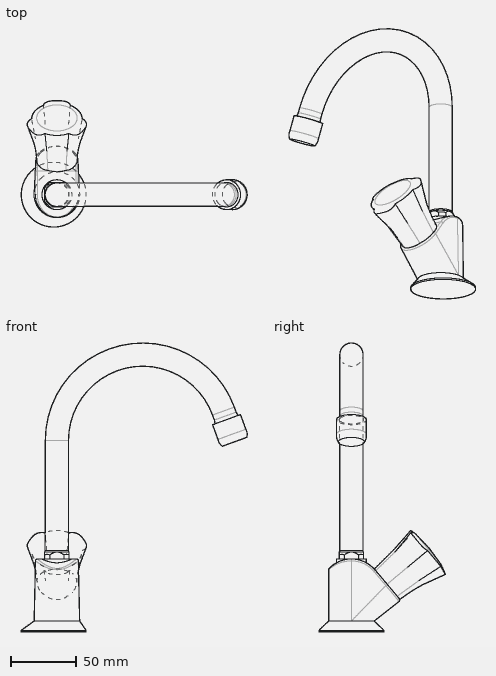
import cadquery as cq
import math

flange_radius = 25.0
flange_offset = -2.5
rim_height = 1.2
flange_height = 8.3
column_radius = 17.6

crown_height = 56.0
dome_radius = 24.0
dome_center_z = crown_height - dome_radius
knob_tilt = 40.0
tilt_sin = math.sin(math.radians(knob_tilt))
tilt_cos = math.cos(math.radians(knob_tilt))
edge_rounding = 1.5
collar_radius = 11.5
collar_bottom = 50.0

arm_radius = 16.2
arm_center_from_tangent = 14.1
apex_height = dome_center_z + dome_radius / tilt_sin

knob_center_from_tangent = 13.6
knob_sections = [(0.0, 15.8, 14.8), (20.0, 18.3, 16.5), (43.0, 25.0, 20.0)]
lobe_count = 3
lobe_half_angle = 15.0
valley_half_angle = 28.0
cap_radius = 15.6
cap_crown = 42.6
cap_edge = 41.6
knob_edge_radius = 23.8
knob_edge = 39.2

pipe_radius = 9.0
bend_radius = 66.0
bend_sweep = 160.0
total_height = 222.14
bend_start = total_height - bend_radius - pipe_radius
nut_across_flats = 18.8
nut_across_corners = 21.0
nut_height = 5.4
nut_chamfer_height = 2.2
nut_chamfer_bottom_radius = 10.8
nut_top = crown_height + nut_height
neck_radius = 18.01 / 2
neck_height = 1.2
outlet_radius = 11.5
outlet_neck = 4.1
outlet_neck_radius = 9.4
outlet_shoulder = 7.0
outlet_seam = 19.0
outlet_length = 25.2
outlet_mouth_radius = 10.0
outlet_mid_radius = 11.25
outlet_mid = 22.8


def arm_face_point(distance):
    """Y and Z of the point this far down the arm face from where it leaves the dome."""
    y = dome_radius * tilt_cos + distance * tilt_sin
    z = dome_center_z + dome_radius * tilt_sin - distance * tilt_cos
    return y, z


def arm_face_plane(distance):
    """Plane of the arm face: local X is X, local Y runs down the face, the normal is the knob axis."""
    y, z = arm_face_point(distance)
    return cq.Plane(origin=(0, y, z), xDir=(1, 0, 0), normal=(0, tilt_cos, tilt_sin))


def back_half():
    """Half round behind the column axis: circular at the foot, narrowing in X only."""
    shaft = (
        cq.Workplane("XY", origin=(0, 0, flange_height))
        .circle(column_radius)
        .workplane(offset=apex_height - flange_height)
        .ellipse(arm_radius, column_radius)
        .loft(ruled=True)
    )
    height = apex_height - flange_height
    behind = cq.Workplane("XY", origin=(0, -column_radius, flange_height))
    return shaft.intersect(behind.box(4 * column_radius, 2 * column_radius, height, centered=(True, True, False)))


def half_disc(plane, radius):
    """Half circle toward local +Y, closed by its diameter."""
    return (
        cq.Workplane(plane)
        .moveTo(-radius, 0)
        .threePointArc((0, radius), (radius, 0))
        .close()
        .wires()
        .val()
    )


def arm_underside():
    """Round lower part of the arm, from the front half of the foot to the lower half of the arm face."""
    foot_plane = cq.Plane(origin=(0, 0, flange_height), xDir=(1, 0, 0), normal=(0, 0, 1))
    foot = half_disc(foot_plane, column_radius)
    face = half_disc(arm_face_plane(arm_center_from_tangent), arm_radius)
    return cq.Workplane(cq.Solid.makeLoft([foot, face], True))


def arm_web():
    """Flat-sided wedge between the underside of the arm, the back half and the plane of the arm face."""
    left_foot, right_foot = [(side * column_radius, 0, flange_height) for side in (-1, 1)]
    left_arm, right_arm = [(side * arm_radius, *arm_face_point(arm_center_from_tangent)) for side in (-1, 1)]
    left_apex, right_apex = [(side * arm_radius, 0, apex_height) for side in (-1, 1)]
    sides = [
        (left_foot, left_arm, left_apex),
        (right_foot, right_arm, right_apex),
        (left_foot, right_foot, right_arm, left_arm),
        (left_foot, right_foot, right_apex, left_apex),
        (left_arm, right_arm, right_apex, left_apex),
    ]
    faces = [
        cq.Face.makeFromWires(cq.Wire.makePolygon([cq.Vector(*corner) for corner in corners], close=True))
        for corners in sides
    ]
    return cq.Workplane(cq.Solid.makeSolid(cq.Shell.makeShell(faces)))


def crown_limit():
    """Everything below the dome and the arm face, from the flange up."""
    back_y = -1.1 * column_radius
    back_z = dome_center_z + math.sqrt(dome_radius**2 - back_y**2)
    face_low = arm_face_point(2 * arm_center_from_tangent + arm_radius)
    width = 4 * column_radius
    return (
        cq.Workplane("YZ", origin=(-width / 2, 0, 0))
        .moveTo(back_y, flange_height)
        .lineTo(back_y, back_z)
        .threePointArc((0, crown_height), arm_face_point(0))
        .lineTo(*face_low)
        .lineTo(face_low[0], flange_height)
        .close()
        .extrude(width)
    )


def flange():
    """Rim with a skew cone up to the column, which stands off its centre."""
    rim = cq.Workplane("XY").center(flange_offset, 0).circle(flange_radius).extrude(rim_height)
    cone = (
        cq.Workplane("XY", origin=(flange_offset, 0, rim_height))
        .circle(flange_radius)
        .workplane(offset=flange_height - rim_height)
        .center(-flange_offset, 0)
        .circle(column_radius)
        .loft(ruled=True)
    )
    return rim.union(cone)


def round_crown(tower):
    """Rounds the outer edges of the dome and the arm face, but not the smooth line between them."""
    rim = tower.faces("%CYLINDER").add(tower.faces(">Y")).edges("not |X")
    return tower.newObject(rim.vals()).fillet(edge_rounding)


def make_body():
    tower = back_half().union(arm_web()).union(arm_underside()).intersect(crown_limit())
    tower = round_crown(tower)
    collar = (
        cq.Workplane("XY", origin=(0, 0, collar_bottom))
        .circle(collar_radius)
        .extrude(crown_height - collar_bottom)
    )
    return tower.union(collar).union(flange())


def polar(radius, degrees):
    return radius * math.cos(math.radians(degrees)), radius * math.sin(math.radians(degrees))


def lobed_wire(plane, lobe_radius, valley_radius):
    """Closed outline of round lobes with shallow round valleys between them; one lobe points to local +Y."""
    pitch = 360 / lobe_count
    lobe_end = pitch / 2 - valley_half_angle
    outline = cq.Workplane(plane).moveTo(*polar(valley_radius, 90 - lobe_end))
    for index in range(lobe_count):
        lobe = 90 + index * pitch
        valley = lobe + pitch / 2
        lobe_points = [polar(lobe_radius, lobe + turn) for turn in (-lobe_half_angle, 0, lobe_half_angle)]
        lobe_points.append(polar(valley_radius, lobe + lobe_end))
        outline = outline.spline(lobe_points, includeCurrent=True).threePointArc(
            polar(valley_radius, valley), polar(valley_radius, valley + valley_half_angle)
        )
    return outline.close().wires().val()


def make_knob():
    seat = arm_face_plane(knob_center_from_tangent)
    wires = []
    for height, lobe_radius, valley_radius in knob_sections:
        plane = cq.Plane(origin=seat.toWorldCoords((0, 0, height)), xDir=seat.xDir, normal=seat.zDir)
        wires.append(lobed_wire(plane, lobe_radius, valley_radius))
    grip = cq.Workplane(cq.Solid.makeLoft(wires, False))
    side_plane = cq.Plane(origin=seat.origin, xDir=seat.xDir, normal=seat.yDir * -1)
    rim_slope = (cap_edge - knob_edge) / (knob_edge_radius - cap_radius)
    limit_radius = 2 * knob_edge_radius
    limit_edge = cap_edge - rim_slope * (limit_radius - cap_radius)
    dome = (
        cq.Workplane(side_plane)
        .lineTo(limit_radius, 0)
        .lineTo(limit_radius, limit_edge)
        .lineTo(cap_radius, cap_edge)
        .lineTo(0, cap_crown)
        .close()
        .revolve(360, (0, 0), (0, 1))
    )
    return grip.intersect(dome)


def outlet():
    """Turned outlet on the end of the bend; its axis continues the pipe."""
    turn = math.radians(180 - bend_sweep)
    end_x = bend_radius + bend_radius * math.cos(turn)
    end_z = bend_start + bend_radius * math.sin(turn)
    plane = cq.Plane(
        origin=(end_x, 0, end_z),
        xDir=(math.cos(turn), 0, math.sin(turn)),
        normal=(0, -1, 0),
    )
    return (
        cq.Workplane(plane)
        .lineTo(pipe_radius, 0)
        .lineTo(pipe_radius, -outlet_neck)
        .lineTo(outlet_neck_radius, -outlet_shoulder)
        .lineTo(outlet_radius, -outlet_shoulder)
        .lineTo(outlet_radius, -outlet_seam)
        .threePointArc((outlet_mid_radius, -outlet_mid), (outlet_mouth_radius, -outlet_length))
        .lineTo(0, -outlet_length)
        .close()
        .revolve(360, (0, 0), (0, 1))
    )


def make_nut():
    flat_distance = nut_across_flats / 2
    blank = (
        cq.Workplane("XY", origin=(0, 0, crown_height))
        .rect(nut_across_flats, nut_across_flats)
        .extrude(nut_height)
    )
    corner_cut = (
        cq.Workplane("XY", origin=(0, 0, crown_height))
        .transformed(rotate=(0, 0, 45))
        .rect(nut_across_corners, nut_across_corners)
        .extrude(nut_height)
    )
    chamfer = (
        cq.Workplane("XZ")
        .moveTo(0, crown_height)
        .lineTo(nut_chamfer_bottom_radius, crown_height)
        .lineTo(nut_chamfer_bottom_radius, nut_top - nut_chamfer_height)
        .lineTo(flat_distance, nut_top)
        .lineTo(0, nut_top)
        .close()
        .revolve(360, (0, 0), (0, 1))
    )
    return blank.intersect(corner_cut).intersect(chamfer)


def make_spout():
    neck = cq.Workplane("XY", origin=(0, 0, nut_top)).circle(neck_radius).extrude(neck_height)
    pipe_bottom = nut_top + neck_height
    pipe = cq.Workplane("XY", origin=(0, 0, pipe_bottom)).circle(pipe_radius).extrude(bend_start - pipe_bottom)
    bend = (
        cq.Workplane("XY", origin=(0, 0, bend_start))
        .circle(pipe_radius)
        .revolve(bend_sweep, (bend_radius, 0), (bend_radius, 1))
    )
    return make_nut().union(neck).union(pipe).union(bend).union(outlet())


body = make_body()
knob = make_knob()
spout = make_spout()
result = cq.Compound.makeCompound([body.val(), knob.val(), spout.val()])